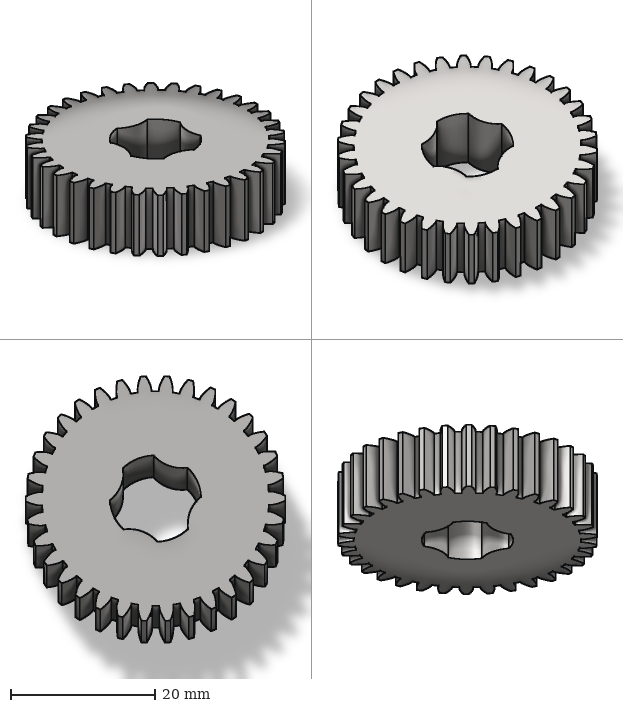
import cadquery as cq
import math

tooth_count = 34
outer_diameter = 36.0
pressure_angle = math.radians(20)
face_width = 9.4

dedendum_factor = 1.25
module = outer_diameter / (tooth_count + 2)
tip_radius = outer_diameter / 2
pitch_radius = module * tooth_count / 2
root_radius = pitch_radius - dedendum_factor * module
base_radius = pitch_radius * math.cos(pressure_angle)

bore_radius = 6.35
lobe_reach = 5.15
lobe_radius = 5.1
lobe_count = 4

flank_points = 8


def polar(radius, angle):
    return (radius * math.cos(angle), radius * math.sin(angle))


def involute_angle(radius):
    """Polar angle swept by the involute between the base circle and a radius."""
    roll = math.acos(base_radius / radius)
    return math.tan(roll) - roll


base_half_angle = math.pi / (2 * tooth_count) + involute_angle(pitch_radius)


def flank(axis_angle, side):
    """Points from base to tip on one flank (side +1 or -1) of the tooth at axis_angle."""
    points = []
    for i in range(flank_points):
        radius = base_radius + (tip_radius - base_radius) * i / (flank_points - 1)
        half_angle = base_half_angle - involute_angle(radius)
        points.append(polar(radius, axis_angle + side * half_angle))
    return points


def make_gear_body():
    """Trace the outline tooth by tooth, counter-clockwise, and extrude it."""
    pitch_angle = 2 * math.pi / tooth_count
    outline = cq.Workplane("XY").moveTo(*polar(root_radius, -base_half_angle))
    for i in range(tooth_count):
        axis_angle = i * pitch_angle
        rising = flank(axis_angle, -1)
        falling = flank(axis_angle, 1)[::-1]
        gap_start = polar(root_radius, axis_angle + base_half_angle)
        gap_middle = polar(root_radius, axis_angle + pitch_angle / 2)
        gap_end = polar(root_radius, axis_angle + pitch_angle - base_half_angle)
        outline = (
            outline.lineTo(*rising[0])
            .spline(rising[1:], includeCurrent=True)
            .threePointArc(polar(tip_radius, axis_angle), falling[0])
            .spline(falling[1:], includeCurrent=True)
            .lineTo(*gap_start)
            .threePointArc(gap_middle, gap_end)
        )
    return outline.close().extrude(face_width)


def make_bore():
    """The void of the bore: a cylinder with the lobes taken out of it."""
    bore = cq.Workplane("XY").circle(bore_radius).extrude(face_width)
    lobes = (
        cq.Workplane("XY")
        .polarArray(lobe_reach + lobe_radius, 0, 360, lobe_count)
        .circle(lobe_radius)
        .extrude(face_width)
    )
    return bore.cut(lobes)


result = make_gear_body().cut(make_bore())